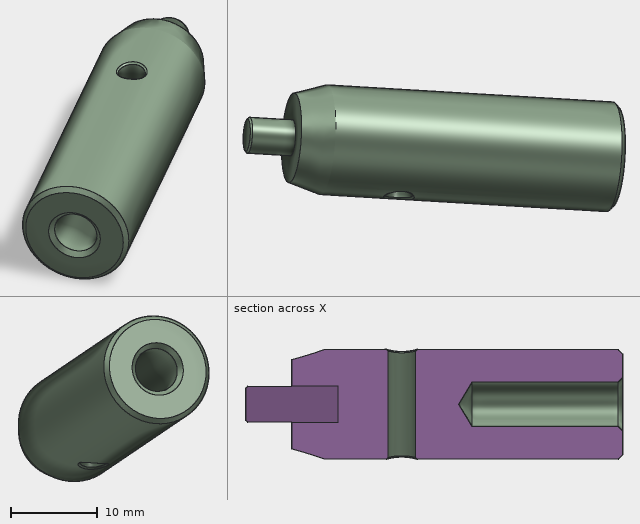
import cadquery as cq
import math

TOTAL_LENGTH = 43.45

HOUSING_RADIUS = 6.35
NOSE_RADIUS = 5.15
NOSE_LENGTH = 3.8
END_CHAMFER = 0.5

BORE_RADIUS = 2.5
BORE_CHAMFER = 0.55
BORE_DEPTH = 17.37
BORE_TIP_ANGLE = 118.0

CROSS_HOLE_RADIUS = 1.55
CROSS_HOLE_CHAMFER = 0.2
CROSS_HOLE_FROM_TIP = 18.0
SELECTION_MARGIN = 1.2

PIN_RADIUS = 2.1
PIN_PROTRUSION = 5.3
PIN_INSERTION = PIN_PROTRUSION
PIN_CHAMFER = 0.2

FRONT_Y = -TOTAL_LENGTH / 2
PIN_TIP_Y = TOTAL_LENGTH / 2
NOSE_Y = PIN_TIP_Y - PIN_PROTRUSION
PIN_BASE_Y = NOSE_Y - PIN_INSERTION
CROSS_HOLE_Y = PIN_TIP_Y - CROSS_HOLE_FROM_TIP


def revolve_about_y(points):
    """Turn a closed (radius, y) outline about the Y axis."""
    return cq.Workplane("XY").polyline(points).close().revolve(360, (0, 0, 0), (0, 1, 0))


def make_housing_blank():
    """Cylinder with a chamfered -Y end and a tapered nose."""
    return revolve_about_y([
        (0, FRONT_Y),
        (HOUSING_RADIUS - END_CHAMFER, FRONT_Y),
        (HOUSING_RADIUS, FRONT_Y + END_CHAMFER),
        (HOUSING_RADIUS, NOSE_Y - NOSE_LENGTH),
        (NOSE_RADIUS, NOSE_Y),
        (0, NOSE_Y),
    ])


def make_bore_cutter():
    """Drilled blind bore with a countersunk mouth and a conical bottom."""
    bore_end_y = FRONT_Y + BORE_DEPTH
    tip_length = BORE_RADIUS / math.tan(math.radians(BORE_TIP_ANGLE / 2))
    return revolve_about_y([
        (0, FRONT_Y),
        (BORE_RADIUS + BORE_CHAMFER, FRONT_Y),
        (BORE_RADIUS, FRONT_Y + BORE_CHAMFER),
        (BORE_RADIUS, bore_end_y),
        (0, bore_end_y + tip_length),
    ])


def cut_cross_hole(body):
    """Drill through along Z and chamfer both mouths, following the curved wall."""
    cutter = (
        cq.Workplane("XY", origin=(0, CROSS_HOLE_Y, 0))
        .circle(CROSS_HOLE_RADIUS)
        .extrude(HOUSING_RADIUS, both=True)
    )
    reach = SELECTION_MARGIN * CROSS_HOLE_RADIUS
    height = SELECTION_MARGIN * HOUSING_RADIUS
    mouth_selector = cq.selectors.BoxSelector(
        (-reach, CROSS_HOLE_Y - reach, -height),
        (reach, CROSS_HOLE_Y + reach, height),
        boundingbox=True,
    )
    return body.cut(cutter).edges(mouth_selector).edges("not |Z").chamfer(CROSS_HOLE_CHAMFER)


def make_pin_recess_cutter():
    """Blind recess in the nose that holds the pin."""
    return revolve_about_y([
        (0, PIN_BASE_Y),
        (PIN_RADIUS, PIN_BASE_Y),
        (PIN_RADIUS, NOSE_Y),
        (0, NOSE_Y),
    ])


def make_housing():
    drilled_body = cut_cross_hole(make_housing_blank())
    return drilled_body.cut(make_bore_cutter()).cut(make_pin_recess_cutter())


def make_pin():
    """Round pin with a chamfered tip, seated in the nose recess."""
    return revolve_about_y([
        (0, PIN_BASE_Y),
        (PIN_RADIUS, PIN_BASE_Y),
        (PIN_RADIUS, PIN_TIP_Y - PIN_CHAMFER),
        (PIN_RADIUS - PIN_CHAMFER, PIN_TIP_Y),
        (0, PIN_TIP_Y),
    ])


housing = make_housing()
pin = make_pin()
result = cq.Compound.makeCompound([housing.val(), pin.val()])